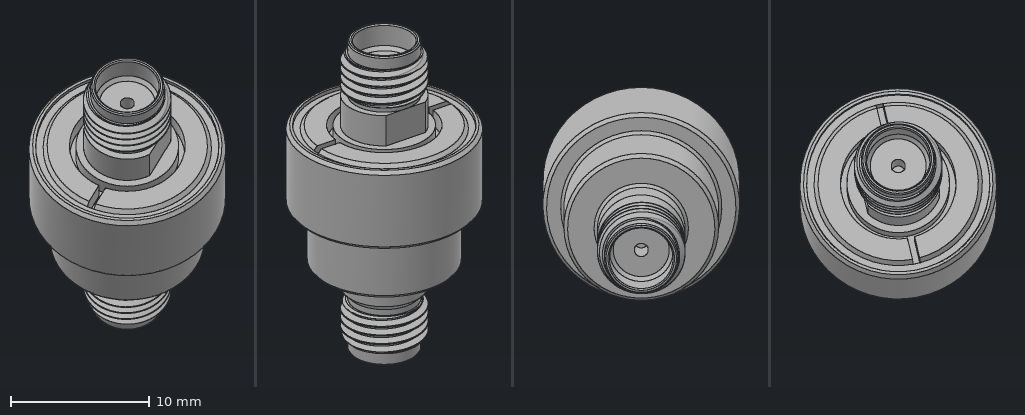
import cadquery as cq
import math


total_length = 25.4

drum_radius = 7.11
drum_top_z = 18.37
drum_bottom_z = 11.94
drum_chamfer = 0.27
barrel_radius = 5.59
barrel_bottom_z = 7.1
barrel_chamfer = 0.27
step_cone = 0.23

hub_radius = 3.175
lower_hub_bottom_z = 5.13
relief_radius = 2.65
lower_hub_end_z = lower_hub_bottom_z - (hub_radius - relief_radius)
upper_hub_top_z = 20.87
tip_chamfer = 0.1

inch = 25.4
threads_per_inch = 36
pitch = inch / threads_per_inch
half_flank_angle = 30
flank_slope = math.tan(math.radians(half_flank_angle))
crest_flat = pitch / 8
root_flat = pitch / 6
thread_depth = (pitch - crest_flat - root_flat) / (2 * flank_slope)
thread_root_radius = hub_radius - thread_depth
thread_length = 3.1
thread_end_chamfer = 0.37
spare_turns = 3
groove_overshoot = 0.05
tip_length = 1.02
lower_crest_z = 3.19
upper_crest_z = 23.67

socket_radius = 2.3
socket_depth = 1.75
socket_floor_radius = 2.02
socket_floor_depth = socket_depth + (socket_radius - socket_floor_radius)
pin_hole_radius = 0.5
pin_hole_depth = 2.0

rim_inner_radius = 6.62
disc_radius = 6.08
disc_chamfer = 0.29
groove_outer_radius = 4.17
groove_inner_radius = 3.71
groove_depth = 1.3
slot_width = 0.53


def revolve(profile):
    """Turn (radius, z) points into a solid of revolution about Z."""
    return cq.Workplane("XZ").polyline(profile).close().revolve(360, (0, 0), (0, 1))


def cylinder(radius, bottom_z, top_z):
    return cq.Workplane("XY").workplane(offset=bottom_z).circle(radius).extrude(top_z - bottom_z)


def make_body():
    """Full outline without the threads."""
    return revolve([
        (0, 0),
        (relief_radius - tip_chamfer, 0),
        (relief_radius, tip_chamfer),
        (relief_radius, lower_hub_end_z),
        (hub_radius, lower_hub_bottom_z),
        (hub_radius, barrel_bottom_z - step_cone),
        (hub_radius + step_cone, barrel_bottom_z),
        (barrel_radius - barrel_chamfer, barrel_bottom_z),
        (barrel_radius, barrel_bottom_z + barrel_chamfer),
        (barrel_radius, drum_bottom_z - step_cone),
        (barrel_radius + step_cone, drum_bottom_z),
        (drum_radius - drum_chamfer, drum_bottom_z),
        (drum_radius, drum_bottom_z + drum_chamfer),
        (drum_radius, drum_top_z - drum_chamfer),
        (drum_radius - drum_chamfer, drum_top_z),
        (hub_radius, drum_top_z),
        (hub_radius, upper_hub_top_z),
        (relief_radius, upper_hub_top_z),
        (relief_radius, total_length - tip_chamfer),
        (relief_radius - tip_chamfer, total_length),
        (0, total_length),
    ])


def make_thread(bottom_z, crest_z):
    """Threaded sleeve: a cylinder with one helical V groove and chamfered ends.

    crest_z is the height of a crest on the -X side.
    """
    top_z = bottom_z + thread_length

    turns_below = math.ceil((crest_z - bottom_z) / pitch) + 1
    start_z = crest_z - turns_below * pitch
    helix_height = thread_length + spare_turns * pitch
    half_root = root_flat / 2
    half_mouth = half_root + (thread_depth + groove_overshoot) * flank_slope
    mouth_radius = hub_radius + groove_overshoot
    helix = cq.Workplane(cq.Wire.makeHelix(pitch, helix_height, hub_radius, cq.Vector(0, 0, start_z)))
    groove = (
        cq.Workplane("XZ")
        .polyline([
            (thread_root_radius, start_z - half_root),
            (mouth_radius, start_z - half_mouth),
            (mouth_radius, start_z + half_mouth),
            (thread_root_radius, start_z + half_root),
        ])
        .close()
        .sweep(helix, isFrenet=True)
    )
    blank = cylinder(hub_radius, start_z - pitch, start_z + helix_height + pitch)

    end_radius = hub_radius - thread_end_chamfer
    half_length = thread_length / 2
    end_cones = revolve([
        (0, bottom_z),
        (end_radius, bottom_z),
        (end_radius + half_length, bottom_z + half_length),
        (end_radius, top_z),
        (0, top_z),
    ])
    return blank.cut(groove).intersect(end_cones)


def make_socket():
    """Socket and contact hole, measured down from a mating face at z = 0."""
    return revolve([
        (0, 0),
        (socket_radius + tip_chamfer, 0),
        (socket_radius, -tip_chamfer),
        (socket_radius, -socket_depth),
        (socket_floor_radius, -socket_floor_depth),
        (pin_hole_radius, -socket_floor_depth),
        (pin_hole_radius, -socket_floor_depth - pin_hole_depth),
        (0, -socket_floor_depth - pin_hole_depth),
    ])


def make_hub_flats():
    """Two wrench flats, facing +X and -X, on the upper hub."""
    flat_height = upper_hub_top_z - drum_top_z
    band = cylinder(2 * hub_radius, drum_top_z, upper_hub_top_z)
    kept = (
        cq.Workplane("XY")
        .workplane(offset=drum_top_z)
        .rect(2 * relief_radius, 4 * hub_radius)
        .extrude(flat_height)
    )
    return band.cut(kept)


def make_drum_face_cuts():
    """Rim groove around the chamfered disc, inner ring groove and two spanner slots."""
    rim_groove = revolve([
        (disc_radius - disc_chamfer, drum_top_z),
        (disc_radius, drum_top_z - disc_chamfer),
        (rim_inner_radius, drum_top_z - disc_chamfer),
        (rim_inner_radius, drum_top_z),
    ])
    groove_floor_z = drum_top_z - groove_depth
    slots = (
        cq.Workplane("XY")
        .workplane(offset=groove_floor_z)
        .rect(slot_width, 2 * drum_radius)
        .extrude(groove_depth)
        .intersect(cylinder(disc_radius, groove_floor_z, drum_top_z))
    )
    collar = cylinder(groove_inner_radius, groove_floor_z, drum_top_z)
    ring_groove = cylinder(groove_outer_radius, groove_floor_z, drum_top_z)
    return rim_groove.union(ring_groove.union(slots).cut(collar))


socket = make_socket()
lower_socket = socket.rotate((0, 0, 0), (1, 0, 0), 180)
upper_socket = socket.translate((0, 0, total_length))

result = (
    make_body()
    .cut(make_hub_flats())
    .cut(make_drum_face_cuts())
    .union(make_thread(tip_length, lower_crest_z))
    .union(make_thread(total_length - tip_length - thread_length, upper_crest_z))
    .cut(lower_socket)
    .cut(upper_socket)
)